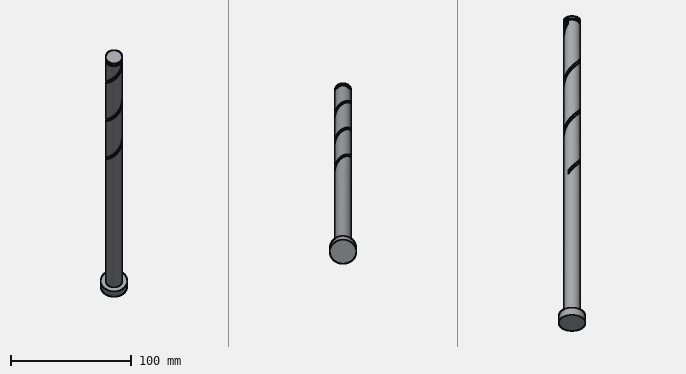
import cadquery as cq

total_length = 315.0
head_diameter = 22.0
head_height = 7.5
shaft_diameter = 14.0

tip_collar_height = 2.2
ring_groove_width = 2.0
ring_groove_depth = 1.3

spiral_start = 152.8
spiral_pitch = 52.3
spiral_turns = 3
spiral_width = 2.8
spiral_depth = 0.47
cutter_clearance = 0.5

shaft_radius = shaft_diameter / 2


def headed_pin():
    head = cq.Workplane("XY").circle(head_diameter / 2).extrude(head_height)
    shaft = cq.Workplane("XY").circle(shaft_radius).extrude(total_length)
    return head.union(shaft)


def ring_groove_cutter():
    bottom = total_length - tip_collar_height - ring_groove_width
    return (
        cq.Workplane("XY", origin=(0, 0, bottom))
        .circle(shaft_radius + cutter_clearance)
        .circle(shaft_radius - ring_groove_depth)
        .extrude(ring_groove_width)
    )


def spiral_groove_cutter():
    path = cq.Wire.makeHelix(spiral_pitch, spiral_pitch * spiral_turns, shaft_radius)
    radial_size = spiral_depth + cutter_clearance
    radial_middle = shaft_radius + (cutter_clearance - spiral_depth) / 2
    cutter = (
        cq.Workplane("XZ")
        .center(radial_middle, 0)
        .rect(radial_size, spiral_width)
        .sweep(cq.Workplane(obj=path), isFrenet=True)
    )
    return cutter.rotate((0, 0, 0), (0, 0, 1), 90).translate((0, 0, spiral_start))


result = headed_pin().cut(ring_groove_cutter()).cut(spiral_groove_cutter())